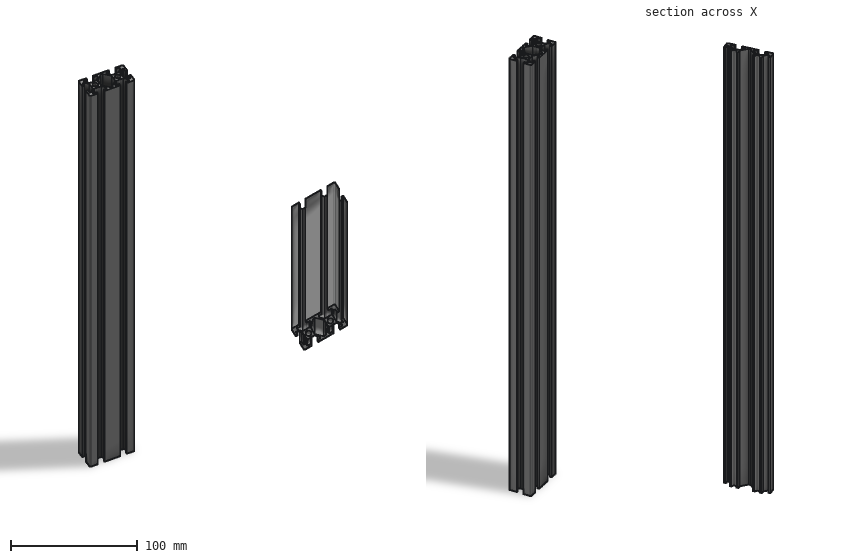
import cadquery as cq
import math

module = 20.0
length = 400.0
corner_radius = 1.0

slot_opening = 6.0
channel_width = 12.0
lip_thickness = 1.8

boss_half_width = 3.9
bore_diameter = 4.5
web_thickness = 1.0

groove_width = 3.0
groove_depth = 0.15

width = module
depth = 2 * module
half_module = module / 2
lip_inner = half_module - lip_thickness

web_offset = web_thickness / 2 * math.sqrt(2)
web_root = boss_half_width - web_offset


def prism(points):
    """Full-length solid with the given closed outline."""
    return cq.Workplane("XY").polyline(points).close().extrude(length)


def slot_cutter(center_y, angle):
    """T-slot of one module, drawn opening toward +X and then turned by the angle."""
    channel_half = channel_width / 2
    upper_side = [
        (boss_half_width, groove_width / 2),
        (boss_half_width, web_root),
        (channel_half + web_offset, channel_half),
        (lip_inner, channel_half),
        (lip_inner, slot_opening / 2),
        (half_module, slot_opening / 2),
    ]
    lower_side = [(x, -y) for x, y in reversed(upper_side)]
    groove_bottom = (boss_half_width - groove_depth, 0)
    slot = prism(upper_side + lower_side + [groove_bottom])
    return slot.rotate((0, 0, 0), (0, 0, 1), angle).translate((0, center_y, 0))


def core_cutter():
    """Central hollow between the two bosses, the diagonal webs and the side walls."""
    boss_y = half_module - boss_half_width
    right_side = [
        (lip_inner, half_module - lip_inner - web_offset),
        (web_root, boss_y),
        (groove_width / 2, boss_y),
    ]
    left_side = [(-x, y) for x, y in reversed(right_side)]
    upper_half = right_side + [(0, boss_y + groove_depth)] + left_side
    lower_half = [(-x, -y) for x, y in upper_half]
    return prism(upper_half + lower_half)


result = cq.Workplane("XY").rect(width, depth).extrude(length)
result = result.edges("|Z").fillet(corner_radius)

for center_y, end_angle in ((half_module, 90), (-half_module, -90)):
    for slot_angle in (0, 180, end_angle):
        result = result.cut(slot_cutter(center_y, slot_angle))
    bore = cq.Workplane("XY").center(0, center_y).circle(bore_diameter / 2).extrude(length)
    result = result.cut(bore)

result = result.cut(core_cutter())